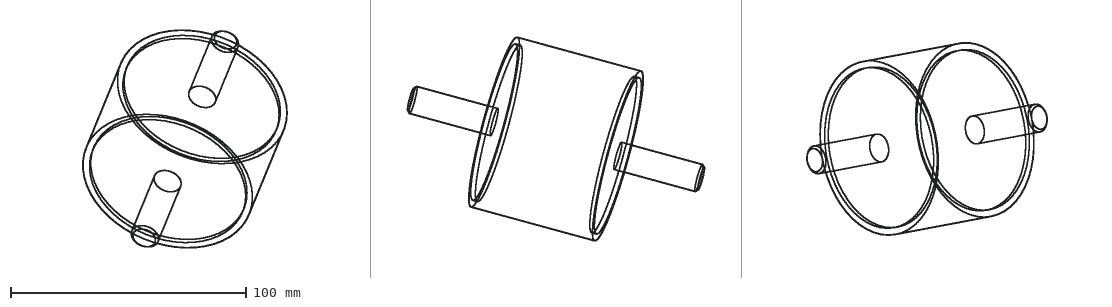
import cadquery as cq

overall_length = 129.0
rubber_diameter = 75.0
rubber_length = 55.0
plate_diameter = 69.0
plate_thickness = 2.0
stud_diameter = 12.0
stud_chamfer = 1.0

rubber_half_length = rubber_length / 2
stud_tip = overall_length / 2
plate_inner_face = rubber_half_length - plate_thickness


def cylinder_along_y(diameter, start, end):
    """Round bar on the Y axis between two Y positions."""
    return cq.Workplane("XZ", origin=(0, start, 0)).circle(diameter / 2).extrude(start - end)


def make_rubber():
    """Buffer block with a shallow recess in each end for a plate."""
    block = cylinder_along_y(rubber_diameter, -rubber_half_length, rubber_half_length)
    for side in (-1, 1):
        recess = cylinder_along_y(plate_diameter, side * plate_inner_face, side * rubber_half_length)
        block = block.cut(recess)
    return block


def make_end_fitting(side):
    """Plate flush with one end of the rubber, with its projecting stud; side is -1 or 1."""
    plate = cylinder_along_y(plate_diameter, side * plate_inner_face, side * rubber_half_length)
    stud = cylinder_along_y(stud_diameter, side * plate_inner_face, side * stud_tip)
    tip_face = "<Y" if side < 0 else ">Y"
    stud = stud.faces(tip_face).chamfer(stud_chamfer)
    return plate.union(stud)


rubber = make_rubber()
end_fittings = [make_end_fitting(side) for side in (-1, 1)]

result = cq.Compound.makeCompound([rubber.val(), *[fitting.val() for fitting in end_fittings]])